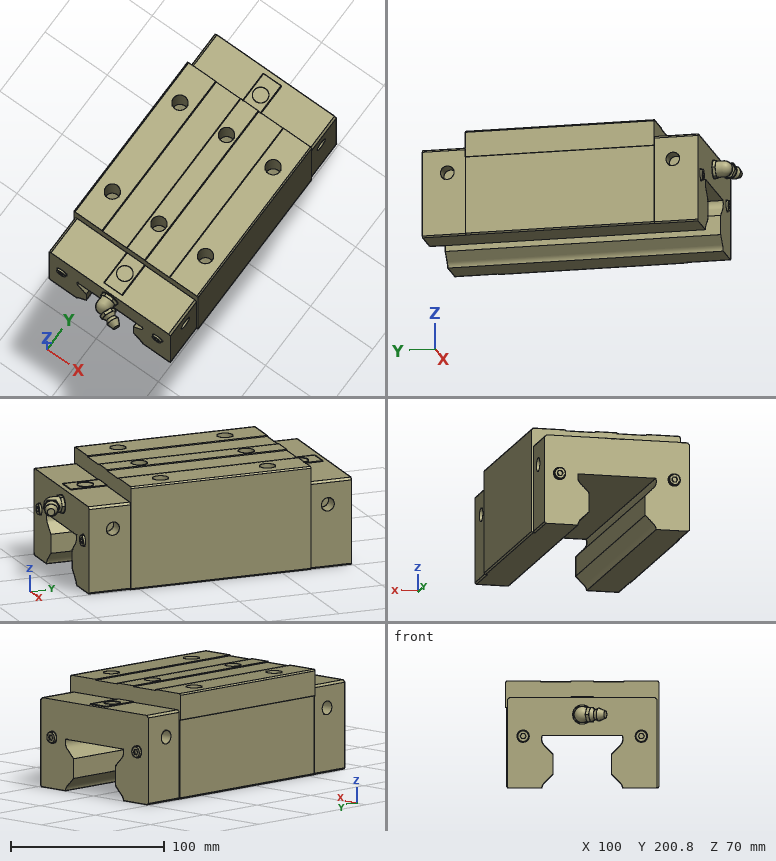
import cadquery as cq
import math


BLOCK_WIDTH = 100.0
BLOCK_LENGTH = 126.0
BLOCK_HEIGHT = 70.0
BLOCK_CHAMFER = 1.0
RELIEF_DEPTH = 0.7
RELIEF_TOP = 52.5

CHANNEL_DEPTH = 0.6
CHANNEL_OUTER_X = 27.3
CENTRE_LAND_WIDTH = 14.0
STEP_RUN = 0.5

HOLE_DIAMETER = 10.5
HOLE_DEPTH = 20.0
HOLE_PITCH_X = 37.5
HOLE_PITCH_Y = 75.0
DRILL_POINT_ANGLE = 118.0

RAIL_TOP = 34.2
RAIL_HALF_WIDTH = 26.4
RAIL_THROAT = 18.9
RAIL_MID_Z = 15.65
RAIL_FLAT_HEIGHT = 13.0
RAIL_GROOVE_RADIUS = 5.9

CAP_WIDTH = 97.6
CAP_HEIGHT = 59.1
CAP_THICKNESS = 25.3
CAP_TOP_CHAMFER = 1.5
CAP_BOTTOM_CHAMFER = 1.0
PLATE_THICKNESS = 3.7
CAP_PAD_HEIGHT = 0.5
PORT_Y = 75.3
TOP_PORT_DIAMETER = 10.8
TOP_PORT_DEPTH = 0.4
SIDE_PORT_DIAMETER = 9.0
SIDE_PORT_DEPTH = 10.0
SIDE_PORT_Z = 42.8

SCREW_X = 38.5
SCREW_Z = 33.9
SCREW_HEAD_DIAMETER = 6.9
SCREW_HEAD_HEIGHT = 1.3
SCREW_CLEARANCE_DIAMETER = 8.0
SCREW_CLEARANCE_DEPTH = 1.0
SCREW_SOCKET_ACROSS_CORNERS = 3.8
SCREW_SOCKET_DEPTH = 1.0

NIPPLE_Z = 48.0
NIPPLE_ANGLE = 23.5
NUT_ACROSS_CORNERS = 12.2
NUT_THICKNESS = 1.8
NUT_RECESS_DIAMETER = 12.5
NUT_RECESS_DEPTH = 0.5
ELBOW_RADIUS = 5.3
ELBOW_REACH = 6.75
COLLAR_ACROSS_CORNERS = 10.9
COLLAR_START = 4.4
COLLAR_END = 6.8
NECK_END = 9.3
HEAD_WIDEST = 11.8
NECK_ROOT_RADIUS = 4.7
NECK_END_RADIUS = 3.2
HEAD_RADIUS = 4.25
TIP_RADIUS = 2.4

CAP_OUTER_Y = BLOCK_LENGTH / 2 + CAP_THICKNESS
END_Y = CAP_OUTER_Y + PLATE_THICKNESS
OVERALL_LENGTH = 200.79
TIP_REACH = OVERALL_LENGTH - 2 * END_Y - SCREW_HEAD_HEIGHT
OUTLET_SLOPE = math.radians(NIPPLE_ANGLE)
TIP_END = (TIP_REACH - ELBOW_REACH - TIP_RADIUS * math.cos(OUTLET_SLOPE)) / math.sin(OUTLET_SLOPE)


def extrude_along_y(points, y_start, y_end):
    """Prism with an XZ outline, running from y_start up to y_end."""
    return cq.Workplane("XZ", origin=(0, y_start, 0)).polyline(points).close().extrude(y_start - y_end)


def cylinder_along_y(diameter, x, z, y_start, y_end):
    return (
        cq.Workplane("XZ", origin=(x, y_start, z))
        .circle(diameter / 2)
        .extrude(y_start - y_end)
    )


def make_block():
    half = BLOCK_WIDTH / 2
    relieved = half - RELIEF_DEPTH
    c = BLOCK_CHAMFER
    outline = [
        (-relieved + c, 0),
        (half - c, 0),
        (half, c),
        (half, BLOCK_HEIGHT - c),
        (half - c, BLOCK_HEIGHT),
        (-half + c, BLOCK_HEIGHT),
        (-half, BLOCK_HEIGHT - c),
        (-half, RELIEF_TOP),
        (-relieved, RELIEF_TOP),
        (-relieved, c),
    ]
    block = extrude_along_y(outline, -BLOCK_LENGTH / 2, BLOCK_LENGTH / 2)
    for side in (-1, 1):
        block = block.cut(make_channel(side))
    return block.cut(make_mounting_holes())


def make_channel(side):
    floor = BLOCK_HEIGHT - CHANNEL_DEPTH
    inner = CENTRE_LAND_WIDTH / 2
    outline = [
        (side * inner, BLOCK_HEIGHT),
        (side * (inner + STEP_RUN), floor),
        (side * (CHANNEL_OUTER_X - STEP_RUN), floor),
        (side * CHANNEL_OUTER_X, BLOCK_HEIGHT),
    ]
    return extrude_along_y(outline, -BLOCK_LENGTH / 2, BLOCK_LENGTH / 2)


def make_mounting_holes():
    radius = HOLE_DIAMETER / 2
    point_depth = radius / math.tan(math.radians(DRILL_POINT_ANGLE / 2))
    drill = (
        cq.Workplane("XZ")
        .polyline([(0, 0), (radius, 0), (radius, -HOLE_DEPTH), (0, -HOLE_DEPTH - point_depth)])
        .close()
        .revolve(360, (0, 0, 0), (0, 1, 0))
    )
    holes = cq.Workplane("XY")
    for column in (-1, 0, 1):
        for row in (-0.5, 0.5):
            place = (column * HOLE_PITCH_X, row * HOLE_PITCH_Y, BLOCK_HEIGHT)
            holes = holes.add(drill.translate(place))
    return holes.combine()


def make_rail_opening():
    """Opening between two bearing ridges; each 45 degree flank runs tangent into a round groove."""
    radius = RAIL_GROOVE_RADIUS
    diagonal = radius / math.sqrt(2)
    ridge_z = RAIL_FLAT_HEIGHT / 2
    roof_z = RAIL_TOP - RAIL_MID_Z
    centre_x = RAIL_HALF_WIDTH - radius
    centre_z = ridge_z + 2 * diagonal + centre_x - RAIL_THROAT

    def groove_x(z):
        return centre_x + math.sqrt(radius**2 - (z - centre_z) ** 2)

    flank_end = (centre_x + diagonal, centre_z - diagonal)
    lower_flank_end = (flank_end[0], -flank_end[1])
    lower_arc_z = (lower_flank_end[1] - RAIL_MID_Z) / 2
    right_half = (
        cq.Workplane("XZ", origin=(0, -END_Y, RAIL_MID_Z))
        .moveTo(0, -RAIL_MID_Z)
        .lineTo(groove_x(RAIL_MID_Z), -RAIL_MID_Z)
        .threePointArc((groove_x(-lower_arc_z), lower_arc_z), lower_flank_end)
        .lineTo(RAIL_THROAT, -ridge_z)
        .lineTo(RAIL_THROAT, ridge_z)
        .lineTo(*flank_end)
        .threePointArc((RAIL_HALF_WIDTH, centre_z), (groove_x(roof_z), roof_z))
        .lineTo(0, roof_z)
        .close()
        .extrude(-2 * END_Y)
    )
    return right_half.union(right_half.mirror("YZ"))


def make_end_cap():
    """End cap and seal plate on the +Y end."""
    half = CAP_WIDTH / 2
    top = CAP_TOP_CHAMFER
    bottom = CAP_BOTTOM_CHAMFER
    outline = [
        (-half + bottom, 0),
        (half - bottom, 0),
        (half, bottom),
        (half, CAP_HEIGHT - top),
        (half - top, CAP_HEIGHT),
        (-half + top, CAP_HEIGHT),
        (-half, CAP_HEIGHT - top),
        (-half, bottom),
    ]
    cap = extrude_along_y(outline, BLOCK_LENGTH / 2, END_Y).union(make_cap_pad())
    top_port = (
        cq.Workplane("XY", origin=(0, PORT_Y, CAP_HEIGHT + CAP_PAD_HEIGHT))
        .circle(TOP_PORT_DIAMETER / 2)
        .extrude(-TOP_PORT_DEPTH)
    )
    cap = cap.cut(top_port)
    for side in (-1, 1):
        side_port = (
            cq.Workplane("YZ", origin=(side * half, PORT_Y, SIDE_PORT_Z))
            .circle(SIDE_PORT_DIAMETER / 2)
            .extrude(-side * SIDE_PORT_DEPTH)
        )
        cap = add_screw(cap.cut(side_port), side * SCREW_X)
    return cap


def make_cap_pad():
    half = CENTRE_LAND_WIDTH / 2
    outline = [
        (-half - STEP_RUN, CAP_HEIGHT),
        (half + STEP_RUN, CAP_HEIGHT),
        (half, CAP_HEIGHT + CAP_PAD_HEIGHT),
        (-half, CAP_HEIGHT + CAP_PAD_HEIGHT),
    ]
    return extrude_along_y(outline, BLOCK_LENGTH / 2, CAP_OUTER_Y)


def add_screw(cap, x):
    """Sink a clearance recess, then stand a socket head screw in it."""
    recess_floor = END_Y - SCREW_CLEARANCE_DEPTH
    head_top = END_Y + SCREW_HEAD_HEIGHT
    recess = cylinder_along_y(SCREW_CLEARANCE_DIAMETER, x, SCREW_Z, recess_floor, END_Y)
    head = cylinder_along_y(SCREW_HEAD_DIAMETER, x, SCREW_Z, recess_floor, head_top)
    socket = (
        cq.Workplane("XZ", origin=(x, head_top, SCREW_Z))
        .polygon(6, SCREW_SOCKET_ACROSS_CORNERS)
        .extrude(SCREW_SOCKET_DEPTH)
    )
    return cap.cut(recess).union(head).cut(socket)


def make_grease_nipple():
    elbow_centre = (0, -END_Y - ELBOW_REACH, NIPPLE_Z)
    base = cq.Workplane("XZ", origin=(0, NUT_RECESS_DEPTH - END_Y, NIPPLE_Z))
    nut = base.polygon(6, NUT_ACROSS_CORNERS).extrude(NUT_RECESS_DEPTH + NUT_THICKNESS)
    stem = base.circle(ELBOW_RADIUS).extrude(NUT_RECESS_DEPTH + ELBOW_REACH)
    ball = cq.Workplane("XY").sphere(ELBOW_RADIUS).translate(elbow_centre)
    outlet = make_outlet().rotate((0, 0, 0), (0, 0, 1), -NIPPLE_ANGLE).translate(elbow_centre)
    return nut.union(stem).union(ball).union(outlet)


def make_outlet():
    """Hexagon collar and grease head pointing along +X from the origin."""
    collar = (
        cq.Workplane("YZ", origin=(COLLAR_START, 0, 0))
        .polygon(6, COLLAR_ACROSS_CORNERS)
        .extrude(COLLAR_END - COLLAR_START)
    )
    profile = [
        (COLLAR_START, 0),
        (COLLAR_START, NECK_END_RADIUS),
        (COLLAR_END, NECK_END_RADIUS),
        (COLLAR_END, NECK_ROOT_RADIUS),
        (NECK_END, NECK_END_RADIUS),
        (HEAD_WIDEST, HEAD_RADIUS),
        (TIP_END, TIP_RADIUS),
        (TIP_END, 0),
    ]
    head = cq.Workplane("XY").polyline(profile).close().revolve(360, (0, 0, 0), (1, 0, 0))
    return collar.union(head)


end_cap = make_end_cap()
carriage = make_block().union(end_cap).union(end_cap.mirror("XZ"))
nut_recess = cylinder_along_y(NUT_RECESS_DIAMETER, 0, NIPPLE_Z, -END_Y, NUT_RECESS_DEPTH - END_Y)
carriage = carriage.cut(make_rail_opening()).cut(nut_recess)
result = carriage.union(make_grease_nipple())